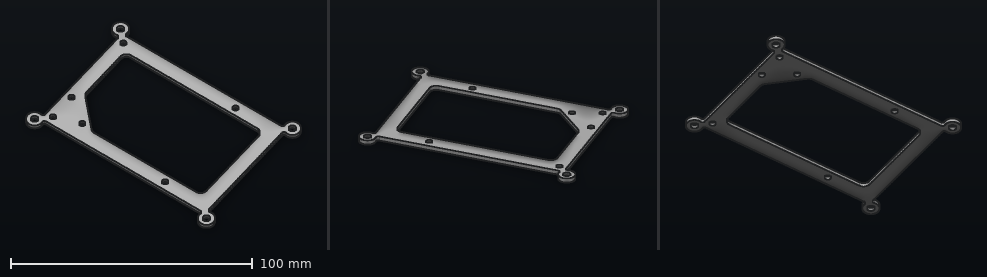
import cadquery as cq

length = 95.8
width = 66.8
thickness = 2.0

lug_diameter = 7.2
lug_hole_diameter = 3.2
lug_fillet = 1.0
lug_x = (length - lug_diameter) / 2
lug_y = (width - lug_diameter) / 2

frame_length = 84.6
frame_width = 56.2
window_length = 71.1
window_width = 42.2
window_chamfer = 14.4
window_fillet = 3.0

small_hole_diameter = 2.7
left_hole_x = -38.9
right_hole_x = 19.0
edge_hole_y = 24.4
middle_hole_y = -11.5
inner_hole_x = -27.0
inner_hole_y = -20.0
small_hole_points = [
    (left_hole_x, edge_hole_y),
    (left_hole_x, -edge_hole_y),
    (right_hole_x, edge_hole_y),
    (right_hole_x, -edge_hole_y),
    (left_hole_x, middle_hole_y),
    (inner_hole_x, inner_hole_y),
]

lug_points = [(sx * lug_x, sy * lug_y) for sx in (-1, 1) for sy in (-1, 1)]


def cylinders(points, diameter):
    """Full-thickness cylinders standing on the base plane."""
    return cq.Workplane("XY").pushPoints(points).circle(diameter / 2).extrude(thickness)


def make_plate():
    """Rectangular plate joined to round lugs by small concave fillets."""
    plate = cq.Workplane("XY").rect(frame_length, frame_width).extrude(thickness)
    plate = plate.union(cylinders(lug_points, lug_diameter))
    half_length = frame_length / 2
    half_width = frame_width / 2
    lug_radius = lug_diameter / 2
    short_side_reach = (lug_radius**2 - (lug_x - half_length) ** 2) ** 0.5
    long_side_reach = (lug_radius**2 - (lug_y - half_width) ** 2) ** 0.5
    for sx in (-1, 1):
        for sy in (-1, 1):
            junctions = [
                (sx * half_length, sy * (lug_y - short_side_reach)),
                (sx * (lug_x - long_side_reach), sy * half_width),
            ]
            for x, y in junctions:
                nearest = cq.selectors.NearestToPointSelector((x, y, thickness / 2))
                plate = plate.edges("|Z").edges(nearest).fillet(lug_fillet)
    return plate


def make_window():
    """Rounded rectangular opening with one corner cut at 45 degrees."""
    right = window_length / 2
    top = window_width / 2
    corners = [
        (right, -top),
        (right, top),
        (-right, top),
        (-right, -top + window_chamfer),
        (-right + window_chamfer, -top),
    ]
    window = cq.Workplane("XY").polyline(corners).close().extrude(thickness)
    return window.edges("|Z").fillet(window_fillet)


result = (
    make_plate()
    .cut(make_window())
    .cut(cylinders(lug_points, lug_hole_diameter))
    .cut(cylinders(small_hole_points, small_hole_diameter))
)